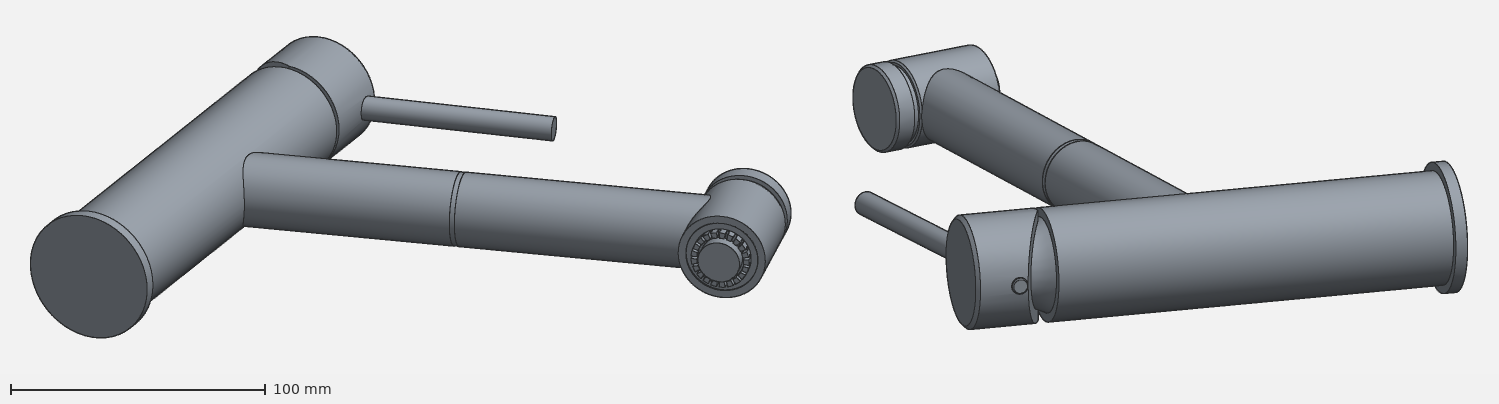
import cadquery as cq
import math

BASE_RADIUS = 26.0
BASE_HEIGHT = 4.8
BODY_RADIUS = 22.6
BODY_TOP = 166.0

COLLAR_FOOT_RADIUS = 19.0
COLLAR_MID_RADIUS = 17.0
COLLAR_TOP_RADIUS = 16.5
COLLAR_MID = 171.0
COLLAR_TOP = 178.0

CAP_BOTTOM = 168.2
CAP_TOP = 199.7
CAP_EDGE = 1.5
UNDERCUT_ANGLE = 25.0
HANDLE_TURN = 1.0
MARKER_RADIUS = 3.3
MARKER_HEIGHT = 182.2
MARKER_PROUD = 1.3
MARKER_EDGE = 0.5

SLOPE = 15.0
LEVER_RADIUS = 4.8
LEVER_START = 185.7
LEVER_LENGTH = 98.7

SPOUT_START = 97.5
SPOUT_RADIUS = 14.8
JOINT_START = 102.0
JOINT_WIDTH = 2.0
JOINT_DEPTH = 0.13

HEAD_OFFSET = 213.2
HEAD_RADIUS = 17.5
HEAD_BOTTOM = -21.0
HEAD_TOP = 15.3
HEAD_RIM = 0.8
NECK_RADIUS = 15.8
BUTTON_BOTTOM = 18.0
BUTTON_TOP = 26.0
BUTTON_EDGE = 1.0

RECESS_RADIUS = 14.5
RECESS_DEPTH = 0.8
CROWN_OUTER = 11.7
CROWN_INNER = 9.5
CROWN_BOTTOM = -24.2
TOOTH_COUNT = 21
TOOTH_GAP = 1.0
PLUG_RADIUS = 8.5
PLUG_BOTTOM = -26.5


def upright(radius, bottom, top):
    """Cylinder on the Y axis between two heights."""
    cylinder = cq.Solid.makeCylinder(radius, top - bottom, cq.Vector(0, bottom, 0), cq.Vector(0, 1, 0))
    return cq.Workplane(obj=cylinder)


def along_x(radius, start, length):
    """Cylinder on the X axis."""
    cylinder = cq.Solid.makeCylinder(radius, length, cq.Vector(start, 0, 0), cq.Vector(1, 0, 0))
    return cq.Workplane(obj=cylinder)


def lean(part, height):
    """Tilt a part built along X up by the common slope and set it at a column height."""
    return part.rotate((0, 0, 0), (0, 0, 1), SLOPE).translate((0, height, 0))


def make_column():
    collar = (
        cq.Workplane("XY")
        .moveTo(0, BODY_TOP)
        .lineTo(COLLAR_FOOT_RADIUS, BODY_TOP)
        .threePointArc((COLLAR_MID_RADIUS, COLLAR_MID), (COLLAR_TOP_RADIUS, COLLAR_TOP))
        .lineTo(0, COLLAR_TOP)
        .close()
        .revolve(360, (0, 0, 0), (0, 1, 0))
    )
    column = upright(BASE_RADIUS, 0, BASE_HEIGHT)
    column = column.union(upright(BODY_RADIUS, 0, BODY_TOP))
    return column.union(collar)


def make_handle():
    cap = upright(BODY_RADIUS, CAP_BOTTOM, CAP_TOP).faces(">Y").chamfer(CAP_EDGE)

    reach = BASE_RADIUS
    rise = reach * math.tan(math.radians(UNDERCUT_ANGLE))
    wedge = (
        cq.Workplane("XY")
        .moveTo(0, CAP_BOTTOM)
        .lineTo(-reach, CAP_BOTTOM)
        .lineTo(-reach, CAP_BOTTOM + rise)
        .close()
        .extrude(BASE_RADIUS, both=True)
    )

    marker = along_x(MARKER_RADIUS, -BODY_RADIUS - MARKER_PROUD, BODY_RADIUS)
    marker = marker.faces("<X").chamfer(MARKER_EDGE).translate((0, MARKER_HEIGHT, 0))
    lever = lean(along_x(LEVER_RADIUS, 0, LEVER_LENGTH), LEVER_START)

    handle = cap.union(marker).cut(wedge).union(lever)
    return handle.rotate((0, 0, 0), (0, 1, 0), HANDLE_TURN)


def make_head():
    head = upright(HEAD_RADIUS, HEAD_BOTTOM, HEAD_TOP).faces(">Y").chamfer(HEAD_RIM)
    button = upright(HEAD_RADIUS, BUTTON_BOTTOM, BUTTON_TOP).faces(">Y").chamfer(BUTTON_EDGE)
    head = head.union(upright(NECK_RADIUS, 0, BUTTON_BOTTOM)).union(button)

    floor = HEAD_BOTTOM + RECESS_DEPTH
    head = head.cut(upright(RECESS_RADIUS, HEAD_BOTTOM, floor))

    crown = upright(CROWN_OUTER, CROWN_BOTTOM, floor)
    crown = crown.cut(upright(CROWN_INNER, CROWN_BOTTOM, HEAD_BOTTOM))
    gap = (
        cq.Workplane("XY")
        .box(CROWN_OUTER, HEAD_BOTTOM - CROWN_BOTTOM, TOOTH_GAP, centered=(False, False, True))
        .translate((CROWN_INNER - TOOTH_GAP, CROWN_BOTTOM, 0))
    )
    pitch = 360 / TOOTH_COUNT
    for index in range(TOOTH_COUNT):
        crown = crown.cut(gap.rotate((0, 0, 0), (0, 1, 0), (index + 0.5) * pitch))

    plug = upright(PLUG_RADIUS, PLUG_BOTTOM, floor)
    return head.union(crown).union(plug).translate((HEAD_OFFSET, 0, 0))


def make_spout():
    tube = along_x(SPOUT_RADIUS, 0, HEAD_OFFSET)
    joint = along_x(SPOUT_RADIUS, JOINT_START, JOINT_WIDTH)
    joint = joint.cut(along_x(SPOUT_RADIUS - JOINT_DEPTH, JOINT_START, JOINT_WIDTH))

    return lean(tube.cut(joint).union(make_head()), SPOUT_START)


result = make_column().union(make_handle()).union(make_spout())